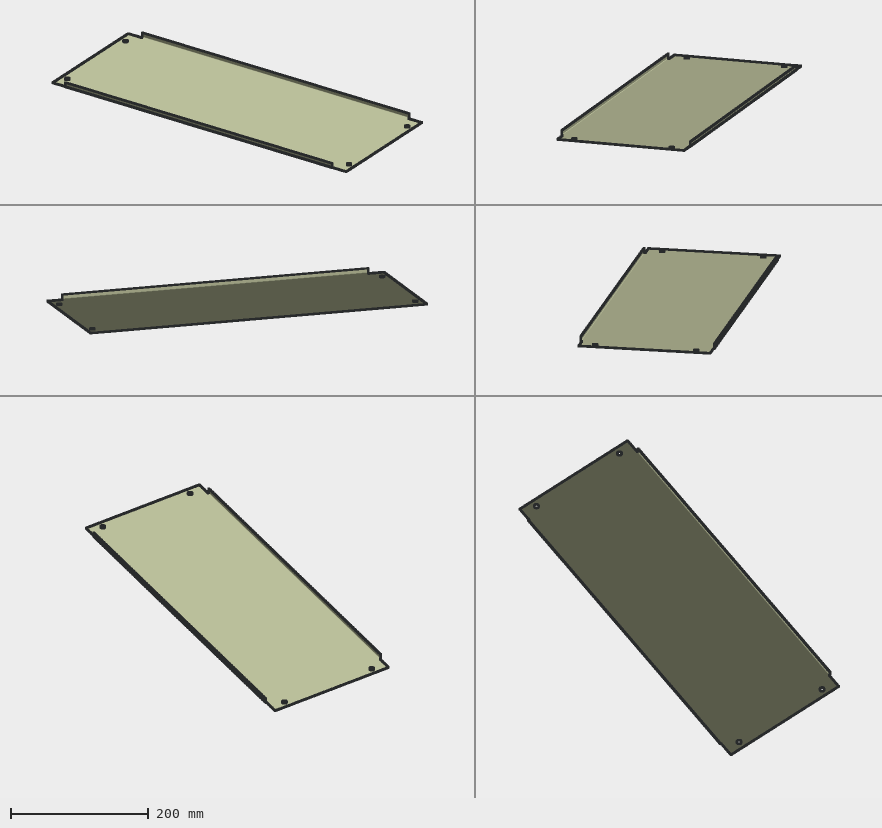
import cadquery as cq

length = 517.0
width = 199.0
height = 8.0
sheet = 1.0

flange_end_gap = 23.5
inner_bend_radius = 1.0
outer_bend_radius = inner_bend_radius + sheet
flange_length = length - 2 * flange_end_gap

plate_width = width - 2 * outer_bend_radius

hole_diameter = 6.5
hole_end_distance = 10.5
hole_spacing_x = length - 2 * hole_end_distance
hole_spacing_y = 150.0


def make_plate():
    """Flat plate with its bottom face on Z = 0."""
    return cq.Workplane("XY").box(length, plate_width, sheet, centered=(True, True, False))


def make_channel():
    """Shallow U-shaped sheet: the floor between the flanges, the bends and both flanges."""
    outer = (
        cq.Workplane("XY")
        .box(flange_length, width, height, centered=(True, True, False))
        .edges("|X and <Z")
        .fillet(outer_bend_radius)
    )
    inner = (
        cq.Workplane("XY")
        .workplane(offset=sheet)
        .box(flange_length, width - 2 * sheet, height, centered=(True, True, False))
        .edges("|X and <Z")
        .fillet(inner_bend_radius)
    )
    return outer.cut(inner)


def make_plate_ends():
    """The two plate ends that reach beyond the flanges."""
    middle = cq.Workplane("XY").box(flange_length, width, height, centered=(True, True, False))
    return make_plate().cut(middle)


def cut_mounting_holes(body):
    """Drill one through hole near each corner."""
    drills = (
        cq.Workplane("XY")
        .rect(hole_spacing_x, hole_spacing_y, forConstruction=True)
        .vertices()
        .circle(hole_diameter / 2)
        .extrude(sheet)
    )
    return body.cut(drills)


result = cut_mounting_holes(make_channel().union(make_plate_ends()).clean())